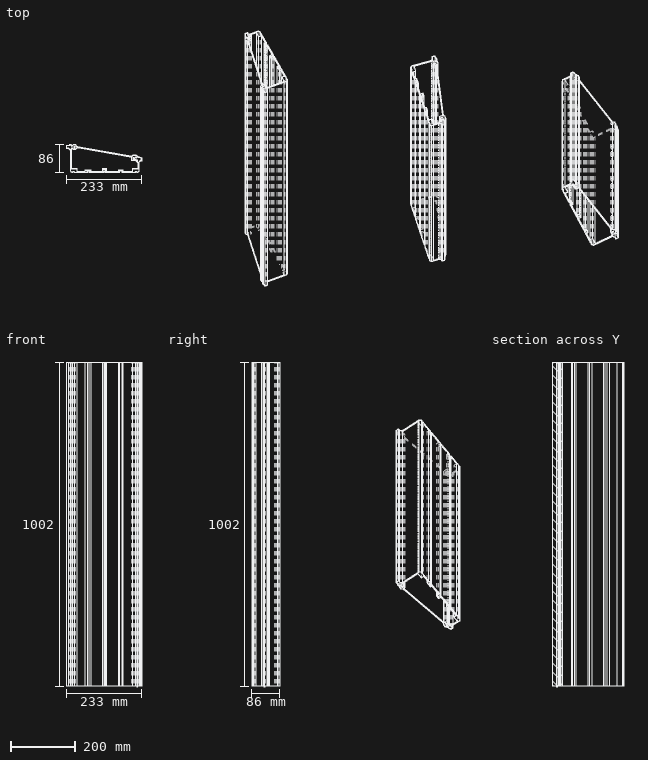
import cadquery as cq
import math

total_width = 233.0
total_depth = 86.0
total_length = 1002.0

pin_tip = 3.0
profile_length = total_length - pin_tip

sheet = 3.0
left_wall = 12.0
right_wall = 225.0
foot_width = 21.0
rib_height = 12.0
foot_chamfer = 5.0
foot_groove_offset = 7.0
groove_width = 5.0
groove_depth = 2.0

channel_height = 8.0
narrow_channel = (57.0, 75.0)
narrow_slot = (64.0, 70.0)
wide_channel = (160.0, 174.0)
wide_slot = (164.0, 171.0)

joint_left = 111.0
joint_right = 123.0
joint_seam = 118.0

head_height = 9.0
left_head_bottom = 75.0
right_head_bottom = 36.0
left_seat = 17.0
right_seat = 214.0
ear_width = 5.0
right_head_crest = 48.0
head_chamfer = 3.0
right_head_groove = (228.0, 231.0)

lid_angle = 10.0
lid_slope = math.tan(math.radians(lid_angle))
lid_thickness = 2.5
lid_start = 32.0
lid_start_top = 80.0
left_bulb_width = 15.0
right_bulb_width = 13.0
bulb_chamfer = 4.0
bulb_slot_width = 2.0
bulb_slot_depth = 9.0
left_bulb_bottom = 71.0
right_bulb_bottom = 37.0
right_bulb_top = 54.0
lip_tip = 221.0
lip_thickness = 2.0

pin_diameter = 3.0
pin_x = 219.0
pin_y = 38.0


def extrude_profile(points):
    """Extrude a closed outline in XY over the length of the profiles."""
    return cq.Workplane("XY").workplane(offset=pin_tip).polyline(points).close().extrude(profile_length)


def block(x_range, y_range):
    """Full-length bar covering the given X and Y ranges."""
    (x0, x1), (y0, y1) = x_range, y_range
    return extrude_profile([(x0, y0), (x1, y0), (x1, y1), (x0, y1)])


def add_channel(body, channel, slot):
    """Raise the floor over a slot that is open underneath."""
    body = body.union(block(channel, (0, channel_height)))
    return body.cut(block(slot, (0, channel_height - sheet)))


def groove(x_start):
    """Shallow groove in the underside of the floor."""
    return block((x_start, x_start + groove_width), (0, groove_depth))


def joint_groove():
    """Groove along the seam, shared by both base halves."""
    return groove(joint_seam - groove_width / 2)


def left_base():
    """Left wall with its head, foot and floor, up to the joint."""
    head_top = left_head_bottom + head_height
    ear_start = left_seat - head_chamfer - ear_width
    inner = left_wall + sheet
    body = extrude_profile([
        (left_wall, foot_chamfer),
        (left_wall + foot_chamfer, 0),
        (joint_seam, 0),
        (joint_seam, sheet),
        (left_wall + foot_width, sheet),
        (left_wall + foot_width, rib_height),
        (inner, rib_height),
        (inner, left_head_bottom - (left_seat - inner)),
        (left_seat, left_head_bottom),
        (left_seat, head_top - head_chamfer),
        (ear_start + ear_width, total_depth),
        (ear_start, total_depth),
        (ear_start, head_top),
        (0, head_top),
        (0, left_head_bottom),
        (left_wall / 2, left_head_bottom),
        (left_wall, left_head_bottom - left_wall / 2),
    ])
    body = body.cut(groove(left_wall + foot_groove_offset))
    body = add_channel(body, narrow_channel, narrow_slot)
    return body.union(block((joint_left, joint_seam), (0, rib_height - sheet))).cut(joint_groove())


def right_base():
    """Right wall with its hinge head, foot and floor, up to the joint."""
    inner = right_wall - sheet
    taper = inner - right_seat
    body = extrude_profile([
        (right_wall, foot_chamfer),
        (right_wall - foot_chamfer, 0),
        (joint_seam, 0),
        (joint_seam, sheet),
        (right_wall - foot_width, sheet),
        (right_wall - foot_width, rib_height),
        (inner, rib_height),
        (inner, right_head_bottom - taper),
        (right_seat, right_head_bottom),
        (right_seat, right_head_crest - head_chamfer),
        (right_seat + head_chamfer, right_head_crest),
        (right_wall, right_head_crest),
        (total_width, right_head_bottom + head_height),
        (total_width, right_head_bottom),
        (right_wall + sheet, right_head_bottom),
        (right_wall, right_head_bottom - sheet),
    ])
    groove_start = right_wall - foot_groove_offset - groove_width
    body = body.cut(groove(groove_start))
    body = add_channel(body, wide_channel, wide_slot)
    body = body.union(block((joint_seam, joint_right), (0, rib_height)))
    body = body.union(block((joint_left, joint_seam), (rib_height - sheet, rib_height)))
    body = body.cut(block(right_head_groove, (right_head_bottom, right_head_bottom + groove_depth)))
    return body.cut(joint_groove()).cut(hinge_pin())


def lid_top(x):
    """Y position of the panel's upper face at a given X."""
    return lid_start_top - (x - lid_start) * lid_slope


def bulb_slot(x_center, bottom):
    """Narrow slot running up into a bulb from below."""
    half = bulb_slot_width / 2
    return block((x_center - half, x_center + half), (bottom, bottom + bulb_slot_depth))


def lid():
    """Sloping panel with a slotted bulb along each edge and a lip over the hinge head."""
    left_bulb_end = left_seat + left_bulb_width
    right_bulb_start = right_seat - right_bulb_width
    drop = lid_thickness / math.cos(math.radians(lid_angle))
    body = extrude_profile([
        (left_seat, left_bulb_bottom + bulb_chamfer),
        (left_seat + bulb_chamfer, left_bulb_bottom),
        (left_bulb_end - bulb_chamfer, left_bulb_bottom),
        (left_bulb_end, left_bulb_bottom + bulb_chamfer),
        (left_bulb_end, lid_top(left_bulb_end) - drop),
        (right_bulb_start, lid_top(right_bulb_start) - drop),
        (right_bulb_start, right_bulb_bottom),
        (right_seat - bulb_chamfer, right_bulb_bottom),
        (right_seat, right_bulb_bottom + bulb_chamfer),
        (right_seat, right_head_crest - head_chamfer),
        (right_seat - head_chamfer / 2, right_head_crest),
        (lip_tip, right_head_crest),
        (lip_tip, right_head_crest + lip_thickness),
        (right_seat, right_bulb_top),
        (right_bulb_start + bulb_chamfer, right_bulb_top),
        (right_bulb_start, lid_top(right_bulb_start)),
        (left_bulb_end, lid_top(left_bulb_end)),
        (left_bulb_end - bulb_chamfer, total_depth),
        (left_seat + bulb_chamfer, total_depth),
        (left_seat, total_depth - bulb_chamfer),
    ])
    left_slot = bulb_slot((left_seat + left_bulb_end) / 2, left_bulb_bottom)
    right_slot = bulb_slot((right_bulb_start + right_seat) / 2, right_bulb_bottom)
    return body.cut(left_slot).cut(right_slot)


def hinge_pin():
    """Round pin in the right head, standing out below the profiles."""
    return cq.Workplane("XY").center(pin_x, pin_y).circle(pin_diameter / 2).extrude(total_length)


result = cq.Compound.makeCompound([
    left_base().val(),
    right_base().val(),
    lid().val(),
    hinge_pin().val(),
])